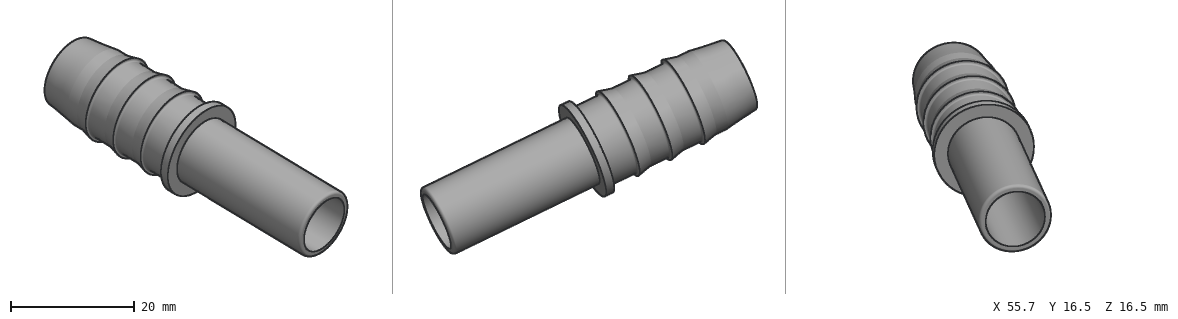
import cadquery as cq

total_length = 55.7
nose_length = 5.95
first_barb_back = 10.47
barb_pitch = 6.0
barb_count = 3
barb_length = 2.4
flange_start = 27.45
flange_thickness = 1.5

bore_radius = 4.9
stem_radius = 6.0
nose_tip_radius = 6.25
body_radius = 7.05
barb_radius = 7.65
flange_radius = 8.25

tip_fillet = 0.4
nose_hollow = 0.05
barb_root_fillet = 0.3
flange_root_fillet = 0.5
stem_end_fillet = 0.5


def ring(start, length, radius):
    """Solid cylinder on the X axis."""
    return cq.Workplane("YZ", origin=(start, 0, 0)).circle(radius).extrude(length)


def revolve_about_x(profile):
    """Closed XY profile turned into a solid of revolution about X."""
    return profile.close().revolve(360, (0, 0, 0), (1, 0, 0))


def nose():
    """Slightly hollow taper leading up to the hose body, with a rounded tip."""
    middle_radius = (nose_tip_radius + body_radius) / 2 - nose_hollow
    profile = (
        cq.Workplane("XY")
        .lineTo(0, nose_tip_radius)
        .threePointArc((nose_length / 2, middle_radius), (nose_length, body_radius))
        .lineTo(nose_length, 0)
    )
    return revolve_about_x(profile).faces("<X").edges().fillet(tip_fillet)


def barb(back):
    """Ramped collar with a square back and a fillet at the foot of that back."""
    foot_end = back + barb_root_fillet
    fillet_top = body_radius + barb_root_fillet
    profile = (
        cq.Workplane("XY")
        .moveTo(back - barb_length, 0)
        .lineTo(back - barb_length, body_radius)
        .lineTo(back, barb_radius)
        .lineTo(back, fillet_top)
        .radiusArc((foot_end, body_radius), -barb_root_fillet)
        .lineTo(foot_end, 0)
    )
    return revolve_about_x(profile)


def flange():
    """Stop collar with a fillet where the hose body meets it."""
    foot_start = flange_start - flange_root_fillet
    flange_end = flange_start + flange_thickness
    profile = (
        cq.Workplane("XY")
        .moveTo(foot_start, 0)
        .lineTo(foot_start, body_radius)
        .radiusArc((flange_start, body_radius + flange_root_fillet), -flange_root_fillet)
        .lineTo(flange_start, flange_radius)
        .lineTo(flange_end, flange_radius)
        .lineTo(flange_end, 0)
    )
    return revolve_about_x(profile)


def stem():
    """Plain tube end with a rounded outer rim."""
    stem_length = total_length - flange_start
    return ring(flange_start, stem_length, stem_radius).faces(">X").edges().fillet(stem_end_fillet)


body = ring(nose_length, flange_start - nose_length, body_radius)
result = nose().union(body).union(flange()).union(stem())
for index in range(barb_count):
    result = result.union(barb(first_barb_back + index * barb_pitch))
result = result.cut(ring(0, total_length, bore_radius))